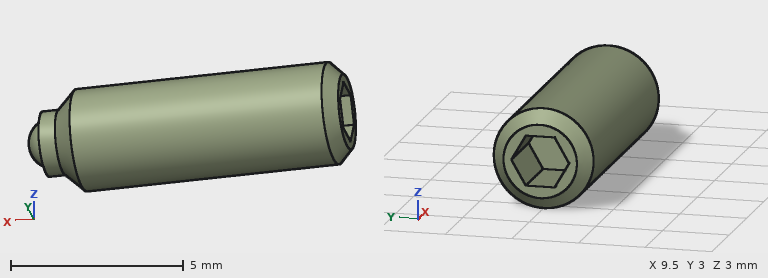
import cadquery as cq
import math

total_length = 9.5
ball_projection = 0.5
neck_length = 0.49
taper_length = 0.57

body_radius = 1.5
neck_radius = 0.96
ball_radius = 0.75
end_chamfer = 0.4

socket_across_flats = 1.5
socket_depth = 1.995

neck_end = total_length - ball_projection
taper_end = neck_end - neck_length
body_end = taper_end - taper_length


def make_pin():
    """Chamfered cylinder, tapering to a short neck with a ball showing at its end."""
    ball_center = total_length - ball_radius
    seat_radius = math.sqrt(ball_radius**2 - (neck_end - ball_center) ** 2)
    arc_middle = (
        ball_center + ball_radius * math.cos(math.pi / 6),
        ball_radius * math.sin(math.pi / 6),
    )
    outline = [
        (0, 0),
        (0, body_radius - end_chamfer),
        (end_chamfer, body_radius),
        (body_end, body_radius),
        (taper_end, neck_radius),
        (neck_end, neck_radius),
        (neck_end, seat_radius),
    ]
    profile = cq.Workplane("XY").polyline(outline).threePointArc(arc_middle, (total_length, 0)).close()
    return profile.revolve(360, (0, 0, 0), (1, 0, 0))


def make_socket():
    """Hexagonal prism with two corners lying along Y."""
    across_corners = socket_across_flats / math.cos(math.pi / 6)
    return cq.Workplane("YZ").polygon(6, across_corners).extrude(socket_depth)


result = make_pin().cut(make_socket())